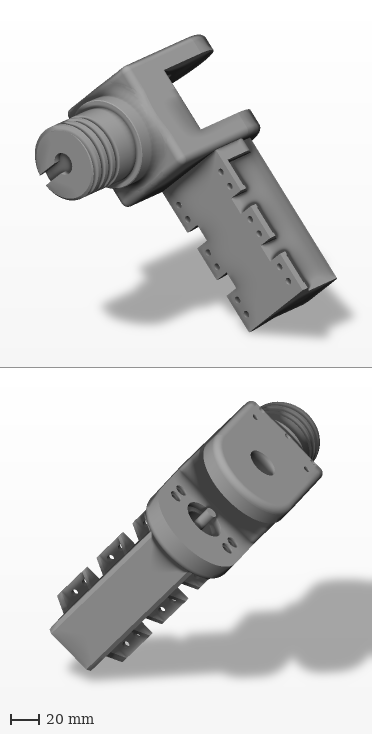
import cadquery as cq
import math

ASSEMBLY_TILT = 47.75

HALF_WIDTH = 37.5
BACK_X = -40.0
FRONT_X = 42.0
SLOT_HALF = 25.0
TOP_Y = 49.1
ARC_RISE = 35.2
BASE_Y = -61.0
SLOT_FLOOR_Y = -26.0
OUTER_FILLET = 5.0
SLOT_FILLET = 2.9
OVERSHOOT = 2.0
PIVOT_RADIUS = 11.2

COLLAR_RADIUS = 32.9
COLLAR_END_Y = -79.7
COLLAR_CHAMFER = 0.5
FLARE_RADIUS = 7.0
STUB_RADIUS = 27.7
STUB_END_Y = -127.5
STUB_CHAMFER = 2.0
THREAD_PITCH = 8.0
THREAD_START_Y = -97.5
THREAD_DEPTH = 3.3
GROOVE_MOUTH = 4.8
GROOVE_ROOT = 1.7
GROOVE_CLEARANCE = 0.5
KEYHOLE_RADIUS = 8.1
KEYHOLE_SLOT = 8.5
KEYHOLE_DEPTH = 6.0

SMALL_HOLE_RADIUS = 2.5
HOLE_OFFSET = 26.0
HOLE_PAIR = 12.0
CHEEK_ROWS_Y = (-41.0, -55.7)
CHEEK_HOLE_DEPTH = 9.7
CBORE_RADIUS = 4.6
CBORE_DEPTH = 2.0

RING_OUTER = 18.2
RING_INNER = 15.5
RING_DEPTH = 5.0

ARM_END_X = 160.0
PLATE_HALF = 33.0
PLATE_THICK = 5.0
BODY_HALF = 20.9
BODY_TOP_Y = 32.0
BODY_CHAMFER = 3.0
FLANGE_THICK = 10.0
FLANGE_SHOULDER_Y = 8.9
FLANGE_CORNER = 10.0
SHAFT_RADIUS = 4.0
SHAFT_LENGTH = 25.0
TAB_PITCH = 39.8
FIRST_TAB_X = 62.9
TAB_COUNT = 3
TAB_CENTERS = [FIRST_TAB_X + TAB_PITCH * i for i in range(TAB_COUNT)]
TAB_HALF = 13.3
GUSSET_TOP_Y = -2.9
GUSSET_THICK = 2.7
END_GUSSET_THICK = 4.8

BOTTOM_Y = -BODY_HALF


def x_cylinder(radius, x_start, x_end, y=0.0, z=0.0):
    """Cylinder parallel to the pivot axis."""
    return cq.Workplane("YZ", origin=(x_start, y, z)).circle(radius).extrude(x_end - x_start)


def box_between(x_range, y_range, z_range):
    """Axis-aligned box from its limits along each axis."""
    size = [r[1] - r[0] for r in (x_range, y_range, z_range)]
    corner = (x_range[0], y_range[0], z_range[0])
    return cq.Workplane("XY").box(*size, centered=False).translate(corner)


def is_rim_edge(edge):
    """True for the edges around both cheek faces and along the underside."""
    tolerance = 0.002
    points = [edge.positionAt(fraction) for fraction in (0, 0.5, 1)]
    on_cheek = any(all(abs(p.x - x) < tolerance for p in points) for x in (BACK_X, FRONT_X))
    on_side = all(abs(abs(p.z) - HALF_WIDTH) < tolerance for p in points)
    is_low = edge.Center().y < BASE_Y + OUTER_FILLET
    return on_cheek or (on_side and is_low)


def fork_block():
    """Rounded-top block with the collar flare, before the slot is cut."""
    shoulder_y = TOP_Y - ARC_RISE
    prism = (
        cq.Workplane("YZ", origin=(BACK_X, 0, 0))
        .moveTo(BASE_Y, -HALF_WIDTH)
        .lineTo(shoulder_y, -HALF_WIDTH)
        .threePointArc((TOP_Y, 0), (shoulder_y, HALF_WIDTH))
        .lineTo(BASE_Y, HALF_WIDTH)
        .close()
        .extrude(FRONT_X - BACK_X)
    )
    flare_foot = COLLAR_RADIUS + FLARE_RADIUS
    sag = FLARE_RADIUS * (1 - math.sqrt(0.5))
    flare = (
        cq.Workplane("XY")
        .moveTo(0, BASE_Y + OUTER_FILLET)
        .lineTo(flare_foot, BASE_Y + OUTER_FILLET)
        .lineTo(flare_foot, BASE_Y)
        .threePointArc(
            (COLLAR_RADIUS + sag, BASE_Y - sag), (COLLAR_RADIUS, BASE_Y - FLARE_RADIUS)
        )
        .lineTo(0, BASE_Y - FLARE_RADIUS)
        .close()
        .revolve(360, (0, 0, 0), (0, 1, 0))
    )
    envelope = box_between(
        (BACK_X, FRONT_X), (BASE_Y - FLARE_RADIUS, TOP_Y), (-HALF_WIDTH, HALF_WIDTH)
    )
    block = prism.union(flare.intersect(envelope))
    rim = [edge for edge in block.edges().vals() if is_rim_edge(edge)]
    return block.newObject(rim).fillet(OUTER_FILLET)


def slot_tool():
    """Gap between the cheeks, widened at both mouths of its floor by a rounding."""
    gap = box_between(
        (-SLOT_HALF, SLOT_HALF),
        (SLOT_FLOOR_Y, TOP_Y + OVERSHOOT),
        (-HALF_WIDTH - OVERSHOOT, HALF_WIDTH + OVERSHOOT),
    )
    round_z = HALF_WIDTH - SLOT_FILLET
    round_y = SLOT_FLOOR_Y - SLOT_FILLET
    for side in (-1, 1):
        mouth = box_between(
            (-SLOT_HALF, SLOT_HALF), (round_y, SLOT_FLOOR_Y), (0, SLOT_FILLET + OVERSHOOT)
        )
        lip = x_cylinder(SLOT_FILLET, -SLOT_HALF, SLOT_HALF, round_y, 0)
        corner = mouth.cut(lip).translate((0, 0, round_z))
        if side < 0:
            corner = corner.mirror("XY")
        gap = gap.union(corner)
    return gap


def stub():
    """Collar and threaded stub."""
    collar = (
        cq.Workplane("XZ", origin=(0, BASE_Y - FLARE_RADIUS, 0))
        .circle(COLLAR_RADIUS)
        .extrude(BASE_Y - FLARE_RADIUS - COLLAR_END_Y)
        .faces("<Y")
        .chamfer(COLLAR_CHAMFER)
    )
    shank = (
        cq.Workplane("XZ", origin=(0, COLLAR_END_Y, 0))
        .circle(STUB_RADIUS)
        .extrude(COLLAR_END_Y - STUB_END_Y)
        .faces("<Y")
        .chamfer(STUB_CHAMFER)
    )
    return collar.union(shank)


def thread_groove():
    """Right-handed trapezoidal groove that starts on the -Z side and runs out at the stub end."""
    turns = math.ceil((THREAD_START_Y - STUB_END_Y) / THREAD_PITCH) + 1
    rise = turns * THREAD_PITCH
    slope = (GROOVE_MOUTH - GROOVE_ROOT) / 2 / THREAD_DEPTH
    root = STUB_RADIUS - THREAD_DEPTH
    outside = STUB_RADIUS + GROOVE_CLEARANCE
    half_root = GROOVE_ROOT / 2
    half_mouth = GROOVE_MOUTH / 2 + slope * GROOVE_CLEARANCE
    profile = [
        (root, -half_root),
        (root, half_root),
        (outside, half_mouth),
        (outside, -half_mouth),
    ]
    helices = [
        cq.Wire.makeHelix(THREAD_PITCH, rise, radius).translate(cq.Vector(0, 0, height))
        for radius, height in profile
    ]
    walls = [cq.Face.makeRuledSurface(helices[i - 1], helices[i]) for i in range(len(helices))]
    caps = []
    for lift in (0, rise):
        corners = [cq.Vector(radius, 0, height + lift) for radius, height in profile]
        caps.append(cq.Face.makeFromWires(cq.Wire.makePolygon(corners, close=True)))
    groove = cq.Solid.makeSolid(cq.Shell.makeShell(walls + caps))
    start = cq.Plane(origin=(0, THREAD_START_Y, 0), xDir=(0, 0, -1), normal=(0, -1, 0))
    return groove.moved(cq.Location(start))


def keyhole_tool():
    """Keyhole recess in the stub end: a round pocket with a slot toward -Z."""
    bottom_y = STUB_END_Y + KEYHOLE_DEPTH
    pocket = (
        cq.Workplane("XZ", origin=(0, bottom_y, 0)).circle(KEYHOLE_RADIUS).extrude(KEYHOLE_DEPTH)
    )
    slot = box_between(
        (-KEYHOLE_SLOT / 2, KEYHOLE_SLOT / 2), (STUB_END_Y, bottom_y), (-STUB_RADIUS - OVERSHOOT, 0)
    )
    return pocket.union(slot)


def cut_pivot(body):
    """Pivot bore through both cheeks, with the ring seat in the arm-side cheek."""
    bore = x_cylinder(PIVOT_RADIUS, BACK_X, FRONT_X)
    seat = x_cylinder(RING_OUTER, SLOT_HALF, SLOT_HALF + RING_DEPTH)
    return body.cut(bore).cut(seat)


def cut_mounting_holes(body):
    """Four counterbored holes beside the ring that take the arm screws."""
    for z in (-HOLE_OFFSET, HOLE_OFFSET):
        for y in (-HOLE_PAIR / 2, HOLE_PAIR / 2):
            body = body.cut(x_cylinder(SMALL_HOLE_RADIUS, SLOT_HALF, FRONT_X, y, z))
            body = body.cut(x_cylinder(CBORE_RADIUS, SLOT_HALF, SLOT_HALF + CBORE_DEPTH, y, z))
    return body


def cut_cheek_holes(body):
    """Five blind holes low on the plain cheek: two above, three below."""
    upper, lower = CHEEK_ROWS_Y
    spots = [(y, z) for y in (upper, lower) for z in (-HOLE_OFFSET, HOLE_OFFSET)] + [(lower, 0)]
    for y, z in spots:
        body = body.cut(x_cylinder(SMALL_HOLE_RADIUS, BACK_X, BACK_X + CHEEK_HOLE_DEPTH, y, z))
    return body


def make_fork():
    """Fork with its slot, holes, collar and threaded stub."""
    fork = fork_block().cut(slot_tool())
    fork = cut_cheek_holes(cut_mounting_holes(cut_pivot(fork)))
    threaded = stub().cut(cq.Workplane(thread_groove()))
    return fork.union(threaded).cut(keyhole_tool())


def make_ring():
    """Plain ring seated flush in the inner face of the arm-side cheek."""
    return (
        cq.Workplane("YZ", origin=(SLOT_HALF, 0, 0))
        .circle(RING_OUTER)
        .circle(RING_INNER)
        .extrude(RING_DEPTH)
    )


def arm_flange():
    """End plate against the fork, its shoulders cut at 45 degrees and rounded."""
    meet_y = FLANGE_SHOULDER_Y + PLATE_HALF - BODY_HALF
    reach = 0.2
    shoulder_corners = cq.selectors.BoxSelector(
        (FRONT_X, FLANGE_SHOULDER_Y - reach, -PLATE_HALF - reach),
        (FRONT_X + FLANGE_THICK, FLANGE_SHOULDER_Y + reach, PLATE_HALF + reach),
    )
    return (
        cq.Workplane("YZ", origin=(FRONT_X, 0, 0))
        .polyline(
            [
                (BOTTOM_Y, -PLATE_HALF),
                (FLANGE_SHOULDER_Y, -PLATE_HALF),
                (meet_y, -BODY_HALF),
                (meet_y, BODY_HALF),
                (FLANGE_SHOULDER_Y, PLATE_HALF),
                (BOTTOM_Y, PLATE_HALF),
            ]
        )
        .close()
        .extrude(FLANGE_THICK)
        .edges(shoulder_corners)
        .fillet(FLANGE_CORNER)
    )


def arm_plate():
    """Mounting plate whose edges are notched into tabs, each tab with two holes."""
    plate_y = (BOTTOM_Y, BOTTOM_Y + PLATE_THICK)
    plate = box_between((FRONT_X, ARM_END_X), plate_y, (-PLATE_HALF, PLATE_HALF))
    hole_spots = []
    for side in (-1, 1):
        z_range = sorted((side * BODY_HALF, side * (PLATE_HALF + OVERSHOOT)))
        for here, following in zip(TAB_CENTERS, TAB_CENTERS[1:]):
            notch_x = (here + TAB_HALF, following - TAB_HALF)
            plate = plate.cut(box_between(notch_x, plate_y, z_range))
        for center in TAB_CENTERS:
            for offset in (-HOLE_PAIR / 2, HOLE_PAIR / 2):
                hole_spots.append((center + offset, side * HOLE_OFFSET))
    holes = (
        cq.Workplane("XZ", origin=(0, plate_y[1], 0))
        .pushPoints(hole_spots)
        .circle(SMALL_HOLE_RADIUS)
        .extrude(PLATE_THICK)
    )
    return plate.cut(holes)


def gusset_pair(x_start, thickness):
    """Gusset with 45 degree slopes that braces the tabs on both sides of the body."""
    slope_end_y = GUSSET_TOP_Y - (PLATE_HALF - BODY_HALF)
    return (
        cq.Workplane("YZ", origin=(x_start, 0, 0))
        .polyline(
            [
                (BOTTOM_Y, -PLATE_HALF),
                (slope_end_y, -PLATE_HALF),
                (GUSSET_TOP_Y, -BODY_HALF),
                (GUSSET_TOP_Y, BODY_HALF),
                (slope_end_y, PLATE_HALF),
                (BOTTOM_Y, PLATE_HALF),
            ]
        )
        .close()
        .extrude(thickness)
    )


def make_arm():
    """Arm body with its flange, tabbed plate, gussets and pivot shaft."""
    body = box_between((FRONT_X, ARM_END_X), (BOTTOM_Y, BODY_TOP_Y), (-BODY_HALF, BODY_HALF))
    body = body.edges("|X and >Y").chamfer(BODY_CHAMFER)
    arm = body.union(arm_flange()).union(arm_plate())
    for here, following in zip(TAB_CENTERS, TAB_CENTERS[1:]):
        arm = arm.union(gusset_pair(here + TAB_HALF - GUSSET_THICK, GUSSET_THICK))
        arm = arm.union(gusset_pair(following - TAB_HALF, GUSSET_THICK))
    arm = arm.union(gusset_pair(ARM_END_X - END_GUSSET_THICK, END_GUSSET_THICK))
    shaft = x_cylinder(SHAFT_RADIUS, FRONT_X - SHAFT_LENGTH, FRONT_X)
    return arm.union(shaft)


def in_resting_position(body):
    """The single solid of a body, turned about Y by the assembly tilt."""
    return body.rotate((0, 0, 0), (0, 1, 0), ASSEMBLY_TILT).solids()


fork = in_resting_position(make_fork())
ring = in_resting_position(make_ring())
arm = in_resting_position(make_arm())

result = cq.Compound.makeCompound([fork.val(), ring.val(), arm.val()])